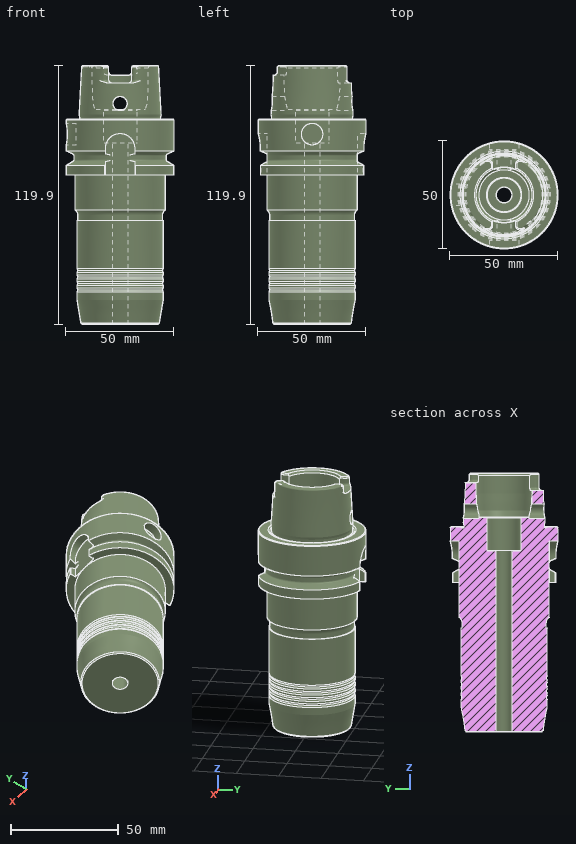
import cadquery as cq
import math

total_length = 119.9
flange_face = 95.1
flange_bottom = 69.2
neck_bottom = 53.0
sleeve_top = 48.2
nose_cone_top = 11.3

flange_radius = 50.0 / 2
neck_radius = 21.0
relief_radius = 19.7
sleeve_radius = 20.0
nose_radius = 18.2
nose_chamfer = 0.6
relief_fillet_height = 2.5

shank_top_radius = 17.9
shank_base_radius = 19.1
shank_base = 97.0
shank_edge_radius = 0.7
undercut_radius = 18.8
undercut_height = 0.8
undercut_depth = 0.5
face_groove_inner = 19.5
face_groove_outer = 20.4

gripper_radius = 21.5
gripper_top = 78.7
gripper_bottom = 75.8
gripper_upper_flank = 1.7
gripper_lower_flank = 2.2
gripper_fillet = 0.7
flange_edge_chamfer = 0.4

ring_groove_count = 4
ring_groove_top = 25.9
ring_groove_pitch = 3.0
ring_groove_width = 1.8
ring_groove_depth = 0.4

mouth_radius = 13.7
mouth_chamfer_height = 1.2
bore_radius = 13.0
bore_taper_top = 110.3
bore_floor_radius = 11.6
floor_cone_radius = 12.6
floor_cone_top = 102.4
bore_floor = 99.5
counterbore_radius = 7.8
counterbore_chamfer = 0.4
counterbore_floor = 83.9
through_radius = 3.6

drive_half_width = 5.3
drive_corner_radius = 2.0
drive_flare_start = 14.1
drive_flare_angle = 20.0
drive_floor_fillet = 1.4
drive_edge_chamfer = 0.6
drive_edge_angle = 45.0
front_drive_depth = 8.0
back_drive_depth = 4.4

key_half_width = 6.8
key_floor_offset = 21.0
key_arc_center = 81.5
key_edge_chamfer = 0.4

cross_hole_radius = 3.2
cross_hole_level = 102.3
chip_hole_radius = 10.0 / 2
chip_hole_level = 88.1
chip_hole_depth = 4.5

clearance = 30.0


def turned_body():
    """Solid of revolution carrying the whole outside shape, without the bore."""
    relief_step = neck_radius - relief_radius
    fillet_radius = (relief_step**2 + relief_fillet_height**2) / (2 * relief_step)
    half_angle = math.atan2(relief_step, relief_fillet_height)
    fillet_center_r = relief_radius + fillet_radius
    fillet_center_z = neck_bottom - relief_fillet_height
    fillet_mid = (
        fillet_center_r - fillet_radius * math.cos(half_angle),
        fillet_center_z + fillet_radius * math.sin(half_angle),
    )
    rim_inset = shank_edge_radius * (1 - math.sqrt(0.5))

    body = (
        cq.Workplane("XZ")
        .moveTo(0, 0)
        .lineTo(nose_radius - nose_chamfer, 0)
        .lineTo(nose_radius, nose_chamfer)
        .lineTo(sleeve_radius, nose_cone_top)
        .lineTo(sleeve_radius, sleeve_top)
        .lineTo(relief_radius, sleeve_top)
        .lineTo(relief_radius, fillet_center_z)
        .threePointArc(fillet_mid, (neck_radius, neck_bottom))
        .lineTo(neck_radius, flange_bottom)
        .lineTo(flange_radius, flange_bottom)
        .lineTo(flange_radius, gripper_bottom - gripper_lower_flank)
        .lineTo(gripper_radius, gripper_bottom)
        .lineTo(gripper_radius, gripper_top)
        .lineTo(flange_radius, gripper_top + gripper_upper_flank)
        .lineTo(flange_radius, flange_face - flange_edge_chamfer)
        .lineTo(flange_radius - flange_edge_chamfer, flange_face)
        .lineTo(face_groove_outer, flange_face)
        .lineTo(face_groove_inner, flange_face - undercut_depth)
        .lineTo(undercut_radius, flange_face - undercut_depth)
        .lineTo(undercut_radius, flange_face + undercut_height)
        .lineTo(shank_base_radius, shank_base)
        .lineTo(shank_top_radius, total_length - shank_edge_radius)
        .threePointArc(
            (shank_top_radius - rim_inset, total_length - rim_inset),
            (shank_top_radius - shank_edge_radius, total_length),
        )
        .lineTo(0, total_length)
        .close()
        .revolve(360, (0, 0, 0), (0, 1, 0))
    )
    groove_corners = cq.selectors.BoxSelector(
        (-gripper_fillet, -gripper_fillet, gripper_bottom - gripper_fillet),
        (gripper_fillet, gripper_fillet, gripper_top + gripper_fillet),
    )
    return body.edges(groove_corners).fillet(gripper_fillet)


def bore():
    """Stepped bore: chamfered mouth, tapering wall, counterbore and through hole."""
    return (
        cq.Workplane("XZ")
        .moveTo(0, 0)
        .lineTo(through_radius, 0)
        .lineTo(through_radius, counterbore_floor)
        .lineTo(counterbore_radius, counterbore_floor)
        .lineTo(counterbore_radius, bore_floor - counterbore_chamfer)
        .lineTo(counterbore_radius + counterbore_chamfer, bore_floor)
        .lineTo(bore_floor_radius, bore_floor)
        .lineTo(floor_cone_radius, floor_cone_top)
        .lineTo(bore_radius, bore_taper_top)
        .lineTo(bore_radius, total_length - mouth_chamfer_height)
        .lineTo(mouth_radius, total_length)
        .lineTo(0, total_length)
        .close()
        .revolve(360, (0, 0, 0), (0, 1, 0))
    )


def ring_groove(top):
    """V-shaped groove around the sleeve, starting at the given level."""
    return (
        cq.Workplane("XZ")
        .moveTo(sleeve_radius, top)
        .lineTo(sleeve_radius - ring_groove_depth, top - ring_groove_width / 2)
        .lineTo(sleeve_radius, top - ring_groove_width)
        .close()
        .revolve(360, (0, 0, 0), (0, 1, 0))
    )


def drive_outline(level, margin):
    """Closed outline of a -Y drive slot at a level, grown by a margin on every wall."""
    half_width = drive_half_width + margin
    corner_radius = drive_corner_radius - margin
    center_x = drive_half_width + drive_corner_radius
    flare = math.radians(drive_flare_angle)

    def corner_point(angle, side):
        x = center_x - corner_radius * math.cos(angle)
        y = drive_flare_start + corner_radius * math.sin(angle)
        return side * x, -y

    arc_end = math.pi / 2 + flare
    end_x, end_y = corner_point(arc_end, 1)
    outer_y = end_y + (clearance - end_x) * math.tan(flare)
    return (
        cq.Workplane("XY")
        .workplane(offset=level)
        .moveTo(half_width, 0)
        .lineTo(half_width, -drive_flare_start)
        .threePointArc(corner_point(arc_end / 2, 1), (end_x, end_y))
        .lineTo(clearance, outer_y)
        .lineTo(clearance, -clearance)
        .lineTo(-clearance, -clearance)
        .lineTo(-clearance, outer_y)
        .lineTo(-end_x, end_y)
        .threePointArc(corner_point(arc_end / 2, -1), (-half_width, -drive_flare_start))
        .lineTo(-half_width, 0)
        .close()
    )


def drive_slot(depth, side):
    """Rim slot with flared outer corners, a filleted floor and chamfered top edges."""
    slot = drive_outline(total_length - depth, 0).extrude(depth)
    slot = slot.faces("<Z").edges().fillet(drive_floor_fillet)
    rim_outline = drive_outline(total_length, drive_edge_chamfer)
    edge_chamfer = rim_outline.extrude(-drive_edge_chamfer, taper=drive_edge_angle)
    slot = slot.union(edge_chamfer)
    return slot if side < 0 else slot.mirror("XZ")


def key_slot(side):
    """Round-topped flat-floored flange slot with chamfered edges below the gripper groove."""
    slot_depth = clearance - key_floor_offset
    slot = (
        cq.Workplane("XZ", origin=(0, -key_floor_offset, 0))
        .moveTo(-key_half_width, flange_bottom)
        .lineTo(key_half_width, flange_bottom)
        .lineTo(key_half_width, key_arc_center)
        .threePointArc((0, key_arc_center + key_half_width), (-key_half_width, key_arc_center))
        .close()
        .extrude(slot_depth)
    )
    rim_half_width = key_half_width + key_edge_chamfer
    rim_offset = math.sqrt(flange_radius**2 - rim_half_width**2)
    flare = clearance - rim_offset
    edge_chamfer = (
        cq.Workplane("XY")
        .workplane(offset=flange_bottom)
        .moveTo(-key_half_width, -rim_offset + key_edge_chamfer)
        .lineTo(key_half_width, -rim_offset + key_edge_chamfer)
        .lineTo(rim_half_width + flare, -clearance)
        .lineTo(-rim_half_width - flare, -clearance)
        .close()
        .extrude(gripper_bottom - flange_bottom)
    )
    slot = slot.union(edge_chamfer)
    return slot if side < 0 else slot.mirror("XZ")


def cross_hole():
    """Hole through both walls of the shank along Y, leaving the bore floor whole."""
    hole = (
        cq.Workplane("XZ")
        .center(0, cross_hole_level)
        .circle(cross_hole_radius)
        .extrude(clearance, both=True)
    )
    floor_plug = cq.Workplane("XY").circle(bore_floor_radius).extrude(bore_floor)
    return hole.cut(floor_plug)


def chip_hole():
    """Flat-bottomed blind hole in the -X side of the flange."""
    return (
        cq.Workplane("YZ", origin=(chip_hole_depth - flange_radius, 0, 0))
        .center(0, chip_hole_level)
        .circle(chip_hole_radius)
        .extrude(-clearance)
    )


result = turned_body().cut(bore())
for groove_index in range(ring_groove_count):
    result = result.cut(ring_groove(ring_groove_top - groove_index * ring_groove_pitch))
result = result.cut(drive_slot(front_drive_depth, -1)).cut(drive_slot(back_drive_depth, 1))
for side in (-1, 1):
    result = result.cut(key_slot(side))
result = result.cut(cross_hole()).cut(chip_hole())